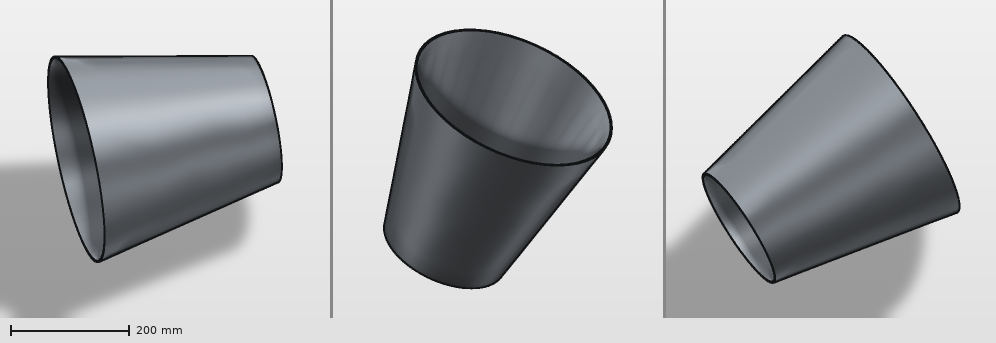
import cadquery as cq

large_diameter = 355.5
small_diameter = 219.0
length = 330.0
radial_wall = 3.0

large_radius = large_diameter / 2
small_radius = small_diameter / 2

wall_section = (
    cq.Workplane("XY")
    .moveTo(large_radius - radial_wall, 0)
    .lineTo(large_radius, 0)
    .lineTo(small_radius, length)
    .lineTo(small_radius - radial_wall, length)
    .close()
)

result = wall_section.revolve(360, (0, 0, 0), (0, 1, 0))